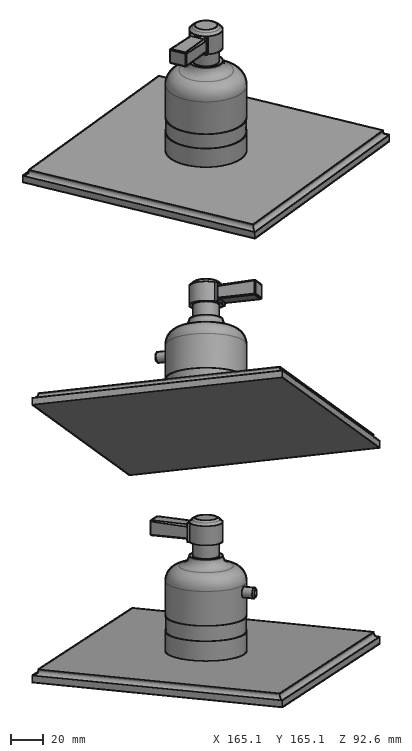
import cadquery as cq
import math

plate_side = 165.1
plate_height = 8.0
plate_rim_height = 4.5
cove_radius = 2.8

body_radius = 25.1
dial_radius = 24.8
base_ring_top = 20.5
dial_top = 30.2
sleeve_top = 52.3
dome_radius = 9.9
dome_arc_angle = 81.0
shoulder_radius = 7.8
rim_radius = 10.4
rim_top = 68.5

neck_radius = 8.3
collar_radius = rim_radius
collar_bottom = 77.6
collar_side_top = 89.8
crown_radius = 8.6
crown_height = 91.6
cap_radius = 7.0
total_height = 92.6

lever_half_width = 6.0
lever_bottom = 79.2
lever_root_top = 88.2
lever_tip_top = 89.0
lever_tip_reach = 34.8
lever_root_chamfer = 1.5
lever_tip_chamfer = 0.75
lever_bottom_chamfer = 0.7
lever_end_chamfer = 0.7

root_half_width = 6.3
root_block_reach = 9.9
root_flare_reach = 11.0

pin_radius = 3.5
pin_height = 47.5
pin_reach = 32.7
pin_chamfer = 1.0


def make_plate():
    """Square slab whose four upper edges are hollowed by a quarter-round cove."""
    plate = cq.Workplane("XY").box(plate_side, plate_side, plate_height, centered=(True, True, False))
    half = plate_side / 2
    inner = half - cove_radius
    arc_top = plate_rim_height + cove_radius
    arc_middle = cove_radius * math.sqrt(0.5)
    edge_cut = (
        cq.Workplane("XZ")
        .moveTo(half, plate_rim_height)
        .threePointArc((half - arc_middle, arc_top - arc_middle), (inner, arc_top))
        .lineTo(inner, plate_height)
        .lineTo(half, plate_height)
        .close()
        .extrude(half, both=True)
    )
    for side in range(4):
        plate = plate.cut(edge_cut.rotate((0, 0, 0), (0, 0, 1), 90 * side))
    return plate


def make_turned_body():
    """Everything round about the Z axis, from the base ring to the cap."""
    dome_center = body_radius - dome_radius

    def dome_point(angle):
        turn = math.radians(angle)
        return (dome_center + dome_radius * math.cos(turn), sleeve_top + dome_radius * math.sin(turn))

    dome_end = dome_point(dome_arc_angle)
    normal = math.radians(dome_arc_angle)
    shoulder_x = dome_end[0] + shoulder_radius * math.cos(normal)
    shoulder_z = dome_end[1] + shoulder_radius * math.sin(normal)
    shoulder_start_angle = normal + math.pi
    shoulder_end_angle = math.acos((rim_radius - shoulder_x) / shoulder_radius)
    shoulder_end_angle = 2 * math.pi - shoulder_end_angle

    def shoulder_point(turn):
        return (shoulder_x + shoulder_radius * math.cos(turn), shoulder_z + shoulder_radius * math.sin(turn))

    shoulder_middle = shoulder_point((shoulder_start_angle + shoulder_end_angle) / 2)
    shoulder_end = shoulder_point(shoulder_end_angle)

    profile = (
        cq.Workplane("XZ")
        .moveTo(0, 0)
        .lineTo(body_radius, 0)
        .lineTo(body_radius, base_ring_top)
        .lineTo(dial_radius, base_ring_top)
        .lineTo(dial_radius, dial_top)
        .lineTo(body_radius, dial_top)
        .lineTo(body_radius, sleeve_top)
        .threePointArc(dome_point(dome_arc_angle / 2), dome_end)
        .threePointArc(shoulder_middle, shoulder_end)
        .lineTo(rim_radius, rim_top)
        .lineTo(neck_radius, rim_top)
        .lineTo(neck_radius, collar_bottom)
        .lineTo(collar_radius, collar_bottom)
        .lineTo(collar_radius, collar_side_top)
        .lineTo(crown_radius, crown_height)
        .lineTo(cap_radius, total_height)
        .lineTo(0, total_height)
        .close()
    )
    return profile.revolve(360, (0, 0, 0), (0, 1, 0))


def bar_section(workplane, half_width, bottom, top, bottom_chamfer, top_chamfer):
    """Rectangle across X with cut corners, used as one end of a lofted bar."""
    return workplane.polyline(
        [
            (-half_width + bottom_chamfer, bottom),
            (half_width - bottom_chamfer, bottom),
            (half_width, bottom + bottom_chamfer),
            (half_width, top - top_chamfer),
            (half_width - top_chamfer, top),
            (-half_width + top_chamfer, top),
            (-half_width, top - top_chamfer),
            (-half_width, bottom + bottom_chamfer),
        ]
    ).close()


def make_lever():
    """Bar rising slightly to its tip, its upper chamfers narrowing outward."""
    root = bar_section(
        cq.Workplane("XZ"), lever_half_width, lever_bottom, lever_root_top,
        lever_bottom_chamfer, lever_root_chamfer,
    )
    bar = bar_section(
        root.workplane(offset=lever_tip_reach), lever_half_width, lever_bottom, lever_tip_top,
        lever_bottom_chamfer, lever_tip_chamfer,
    ).loft(ruled=True)
    return bar.faces("<Y").chamfer(lever_end_chamfer)


def make_lever_root():
    """Collar-high block under and around the lever, tapering onto it."""
    block_height = collar_side_top - collar_bottom
    block = (
        cq.Workplane("XZ")
        .center(0, collar_bottom + block_height / 2)
        .rect(2 * root_half_width, block_height)
        .extrude(root_block_reach)
    )
    lever_height = lever_root_top - lever_bottom
    flare = (
        cq.Workplane("XZ", origin=(0, -root_block_reach, 0))
        .center(0, collar_bottom + block_height / 2)
        .rect(2 * root_half_width, block_height)
        .workplane(offset=root_flare_reach - root_block_reach)
        .center(0, lever_bottom + lever_height / 2 - collar_bottom - block_height / 2)
        .rect(2 * (lever_half_width - lever_root_chamfer), lever_height)
        .loft(ruled=True)
    )
    return block.union(flare)


def make_pin():
    """Short radial pin with a chamfered end."""
    return (
        cq.Workplane("XZ", origin=(0, 0, pin_height))
        .circle(pin_radius)
        .extrude(-pin_reach)
        .faces(">Y")
        .chamfer(pin_chamfer)
    )


result = (
    make_plate()
    .union(make_turned_body())
    .union(make_lever_root())
    .union(make_lever())
    .union(make_pin())
)